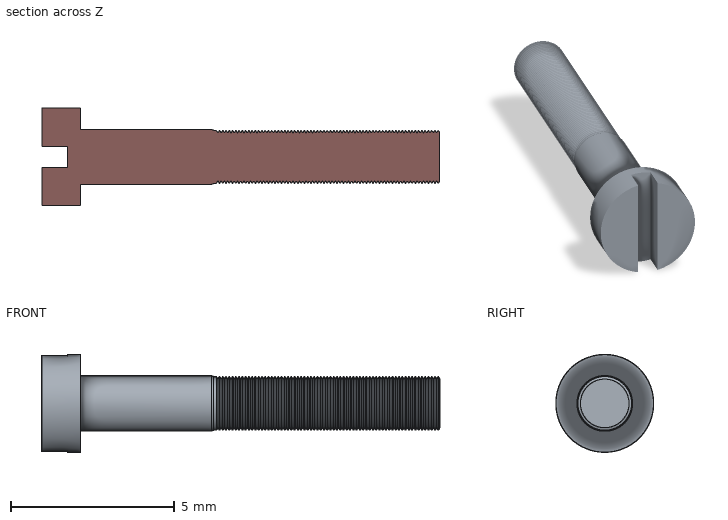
import cadquery as cq

total_length = 12.2
head_diameter = 3.0
head_height = 1.2
shank_diameter = 1.71
shank_length = 4.0
slot_width = 0.62
slot_depth = 0.79

crest_diameter = 1.65
crest_width = 0.01
groove_depth = 0.079
lead_in_length = 0.07
collar_width = 0.09
ring_count = 68

head_radius = head_diameter / 2
shank_radius = shank_diameter / 2
crest_radius = crest_diameter / 2
root_radius = crest_radius - groove_depth

x_start = -total_length / 2
x_end = total_length / 2
x_head = x_start + head_height
x_shank = x_head + shank_length
x_collar = x_shank + lead_in_length
x_rings = x_collar + collar_width
ring_pitch = (x_end - x_rings + crest_width / 2) / (ring_count + 1 / 2)
flank_width = (ring_pitch - crest_width) / 2


def ring_points():
    """Outline of the rings, each a V groove followed by a narrow flat crest."""
    points = []
    for ring in range(ring_count):
        x_groove = x_rings + ring * ring_pitch
        points.append((x_groove, crest_radius))
        points.append((x_groove + flank_width, root_radius))
        points.append((x_groove + 2 * flank_width, crest_radius))
    points.append((x_end - flank_width, crest_radius))
    points.append((x_end, root_radius))
    return points


def turned_body():
    """Head, plain shank, tapered lead-in, collar and ringed section, turned about X."""
    outline = [
        (x_start, 0),
        (x_start, head_radius),
        (x_head, head_radius),
        (x_head, shank_radius),
        (x_shank, shank_radius),
        (x_collar, crest_radius),
        *ring_points(),
        (x_end, 0),
    ]
    return cq.Workplane("XZ").polyline(outline).close().revolve(360, (0, 0, 0), (1, 0, 0))


def driver_slot():
    """Straight slot across the head face, running along Z."""
    return cq.Workplane("XY").box(slot_depth, slot_width, head_diameter).translate(
        (x_start + slot_depth / 2, 0, 0)
    )


result = turned_body().cut(driver_slot())